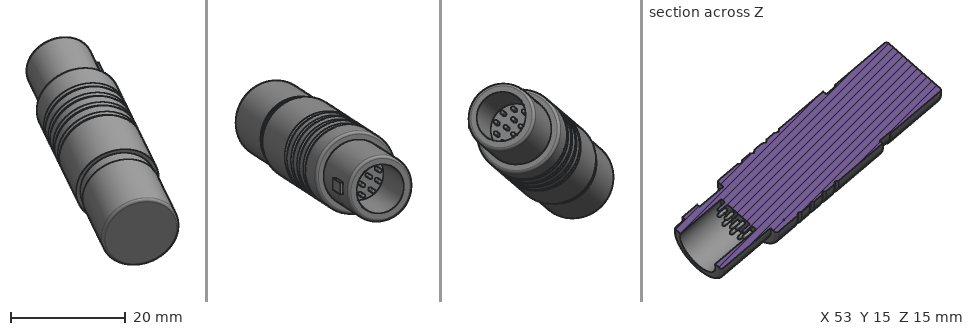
import cadquery as cq
import math

nose_length = 12.0
sleeve_end = 38.0
neck_end = 40.4
total_length = 53.0

nose_radius = 6.0
sleeve_radius = 7.5
neck_radius = 6.75
rear_radius = 7.0
edge_round = 0.5

groove_count = 4
groove_pitch = 3.0
first_groove_x = 17.61
groove_half_width = 0.53
groove_depth = 0.33
groove_clearance = 0.5

bore_radius = 4.4
bore_depth = 10.0
pin_radius = 0.35
pin_length = 2.0
pin_overlap = 1.0
outer_pin_count = 10
outer_pin_circle = 3.25
inner_pin_count = 4
inner_pin_circle = 1.35

key_start = 2.6
key_length = 3.7
key_width = 2.1
key_top = 6.5
key_root = 5.5


def cylinder(start, length, radius, y=0.0, z=0.0):
    """Solid cylinder along +X, with its axis through (y, z)."""
    return cq.Workplane("YZ", origin=(start, y, z)).circle(radius).extrude(length)


def make_body():
    """Stepped round body with rounded end edges."""
    nose = cylinder(0, nose_length, nose_radius).faces("<X").edges().fillet(edge_round)
    sleeve = cylinder(nose_length, sleeve_end - nose_length, sleeve_radius)
    sleeve = sleeve.faces("<X").edges().fillet(edge_round)
    neck = cylinder(sleeve_end, neck_end - sleeve_end, neck_radius)
    rear = cylinder(neck_end, total_length - neck_end, rear_radius)
    rear = rear.faces(">X").edges().fillet(edge_round)
    return nose.union(sleeve).union(neck).union(rear)


def make_groove_cutter(x):
    """Ring cutter, deepest at x: a straight flank on the -X side and a
    concave arc on the +X side that starts parallel to the axis."""
    bottom_radius = sleeve_radius - groove_depth
    outside = sleeve_radius + groove_clearance
    arc_radius = (groove_half_width**2 + groove_depth**2) / (2 * groove_depth)
    arc_middle = groove_half_width / 2
    arc_middle_rise = arc_radius - math.sqrt(arc_radius**2 - arc_middle**2)
    section = (
        cq.Workplane("XY")
        .moveTo(x - groove_half_width, outside)
        .lineTo(x - groove_half_width, sleeve_radius)
        .lineTo(x, bottom_radius)
        .threePointArc(
            (x + arc_middle, bottom_radius + arc_middle_rise),
            (x + groove_half_width, sleeve_radius),
        )
        .lineTo(x + groove_half_width, outside)
        .close()
    )
    return section.revolve(360, (0, 0, 0), (1, 0, 0))


def add_pins(body, count, circle_radius):
    """Round-tipped contacts standing on the cavity floor, evenly spaced from the +Z direction."""
    tip_center = bore_depth - pin_length + pin_radius
    shank_length = bore_depth - tip_center + pin_overlap
    for index in range(count):
        angle = 2 * math.pi * index / count
        y = circle_radius * math.sin(angle)
        z = circle_radius * math.cos(angle)
        shank = cylinder(tip_center, shank_length, pin_radius, y, z)
        tip = cq.Workplane("XY").sphere(pin_radius).translate((tip_center, y, z))
        pin = shank.union(tip)
        body = body.union(pin)
    return body


def make_key():
    """Rectangular rib, rooted inside the nose wall."""
    size = (key_length, key_top - key_root, key_width)
    key = cq.Workplane("XY").box(*size, centered=(False, False, True))
    return key.translate((key_start, key_root, 0))


result = make_body()
for groove_index in range(groove_count):
    result = result.cut(make_groove_cutter(first_groove_x + groove_index * groove_pitch))
result = result.cut(cylinder(0, bore_depth, bore_radius))
result = add_pins(result, outer_pin_count, outer_pin_circle)
result = add_pins(result, inner_pin_count, inner_pin_circle)
result = result.union(make_key())